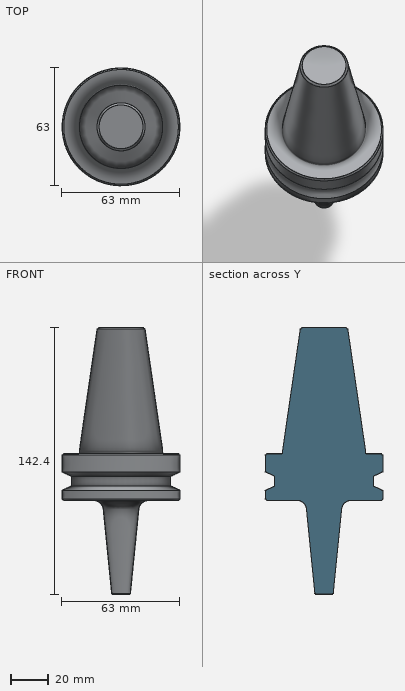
import cadquery as cq
import math


gauge_radius = 22.2
shank_length = 65.4
taper_ratio = 7 / 24
shank_end_chamfer = 1.0
shank_top_radius = gauge_radius - shank_length * taper_ratio / 2

flange_top = -2.0
neck_fillet = 0.5

flange_radius = 31.5
flange_thickness = 25.0
flange_bottom = flange_top - flange_thickness
flange_chamfer = 0.9
groove_center = -16.7
groove_floor_width = 5.1
groove_radius = 26.5
groove_side_angle = math.radians(25)
groove_floor_half = groove_floor_width / 2
groove_mouth_half = groove_floor_half + (flange_radius - groove_radius) * math.tan(groove_side_angle)

total_length = 142.4
nose_tip = shank_length - total_length
nose_tip_radius = 5.0
nose_root_radius = 10.0
nose_tip_chamfer = 0.4
root_fillet = 5.0


def make_profile():
    """Half section of the body, from the tip of the nose up to the shank end."""
    return (
        cq.Workplane("XZ")
        .moveTo(0, nose_tip)
        .lineTo(nose_tip_radius, nose_tip)
        .lineTo(nose_root_radius, flange_bottom)
        .lineTo(flange_radius, flange_bottom)
        .lineTo(flange_radius, groove_center - groove_mouth_half)
        .lineTo(groove_radius, groove_center - groove_floor_half)
        .lineTo(groove_radius, groove_center + groove_floor_half)
        .lineTo(flange_radius, groove_center + groove_mouth_half)
        .lineTo(flange_radius, flange_top)
        .lineTo(gauge_radius, flange_top)
        .lineTo(gauge_radius, 0)
        .lineTo(shank_top_radius, shank_length)
        .lineTo(0, shank_length)
        .close()
    )


def circle_edge(radius, height):
    """Selector for the circular edge of the given radius at the given height."""
    margin = 0.07
    return cq.selectors.BoxSelector(
        (-radius - margin, -radius - margin, height - margin),
        (radius + margin, radius + margin, height + margin),
        boundingbox=True,
    )


body = make_profile().revolve(360, (0, 0, 0), (0, 1, 0))

body = body.edges(circle_edge(nose_root_radius, flange_bottom)).fillet(root_fillet)
body = body.edges(circle_edge(gauge_radius, flange_top)).fillet(neck_fillet)
body = body.faces("<Z").edges().chamfer(nose_tip_chamfer)
body = body.faces(">Z").edges().chamfer(shank_end_chamfer)
flange_rims = cq.selectors.RadiusNthSelector(-1)
for height in (flange_top, flange_bottom):
    body = body.edges(circle_edge(flange_radius, height)).edges(flange_rims).chamfer(flange_chamfer)

result = body